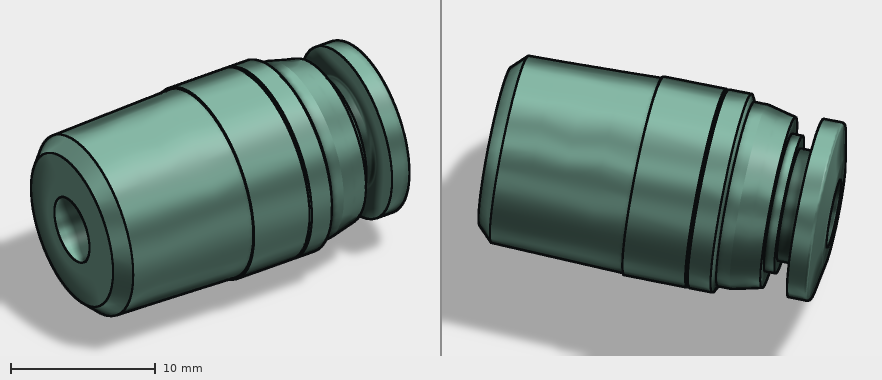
import cadquery as cq

LENGTH = 23.9
BORE_RADIUS = 2.4

END_FACE_RADIUS = 5.6
TAPER_SMALL_RADIUS = 6.6
TAPER_LARGE_RADIUS = 6.88
END_CHAMFER_LENGTH = 1.03
TAPER_END = 10.47

BODY_RADIUS = 7.0
GROOVE_START = 14.91
GROOVE_WIDTH = 0.2
GROOVE_DEPTH = 0.17
BEVEL_START = 16.7
BEVEL_END = 17.0

SLEEVE_RADIUS = 6.5
NOSE_START = 17.97
NOSE_END = 20.0
NOSE_RADIUS = 6.02
STEP_RADIUS = 4.85
STEP_END = 20.75

NECK_RADIUS = 3.97
NECK_FILLET = 0.29
CAP_RADIUS = 6.29
CAP_START = 21.95
CAP_SHOULDER = 23.4
CAP_TOP_RADIUS = 3.82
CAP_EDGE_FILLET = 0.25


def turned(points):
    """Revolve (radius, Y) outline points, closed along the axis, about Y."""
    closed = [(0, points[0][1]), *points, (0, points[-1][1])]
    return cq.Workplane("XY").polyline(closed).close().revolve(360, (0, 0, 0), (0, 1, 0))


def circle_edge(radius, y):
    """Selector for the circular edge of the given radius at height y."""
    margin = 0.02
    return cq.selectors.BoxSelector(
        (-radius - margin, y - margin, -radius - margin),
        (radius + margin, y + margin, radius + margin),
        boundingbox=True,
    )


def make_body():
    return turned([
        (END_FACE_RADIUS, 0),
        (TAPER_SMALL_RADIUS, END_CHAMFER_LENGTH),
        (TAPER_LARGE_RADIUS, TAPER_END),
        (BODY_RADIUS, TAPER_END),
        (BODY_RADIUS, GROOVE_START),
        (BODY_RADIUS - GROOVE_DEPTH, GROOVE_START + GROOVE_WIDTH / 2),
        (BODY_RADIUS, GROOVE_START + GROOVE_WIDTH),
        (BODY_RADIUS, BEVEL_START),
        (SLEEVE_RADIUS, BEVEL_END),
        (SLEEVE_RADIUS, NOSE_START),
        (NOSE_RADIUS, NOSE_END),
        (STEP_RADIUS, NOSE_END),
        (STEP_RADIUS, STEP_END),
    ])


def make_button():
    button = turned([
        (NECK_RADIUS, STEP_END),
        (NECK_RADIUS, CAP_START),
        (CAP_RADIUS, CAP_START),
        (CAP_RADIUS, CAP_SHOULDER),
        (CAP_TOP_RADIUS, LENGTH),
    ])
    button = button.edges(circle_edge(CAP_RADIUS, CAP_SHOULDER)).fillet(CAP_EDGE_FILLET)
    return button.edges(circle_edge(NECK_RADIUS, CAP_START)).fillet(NECK_FILLET)


def make_bore():
    return cq.Workplane("XZ").circle(BORE_RADIUS).extrude(-LENGTH)


result = make_body().union(make_button()).cut(make_bore())